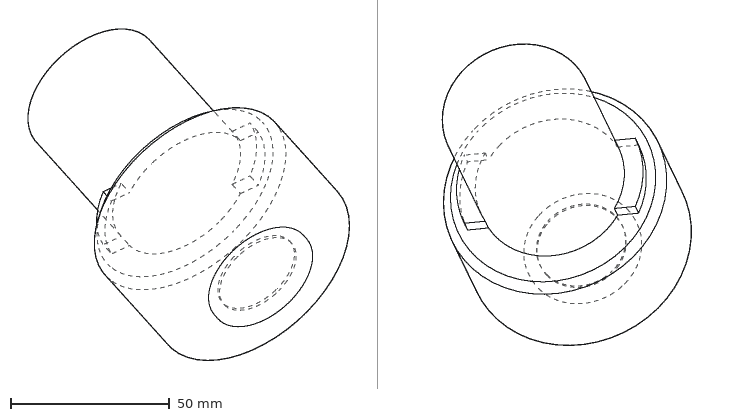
import cadquery as cq

total_length = 100.5
lug_start = 50.5
body_start = 55.3
body_end = 96.4
disc_start = 97.4

shaft_radius = 24.0
body_radius = 36.0
lug_outer_radius = 30.0
neck_radius = 14.4
disc_radius = 18.8

shaft_end_fillet = 2.1
body_front_chamfer = 2.9
body_rear_fillet = 2.0
disc_edge_fillet = 0.6
lug_width = 24.0


def cylinder(start, end, radius):
    """Solid cylinder on the X axis between two axial stations."""
    return cq.Workplane("YZ").workplane(offset=start).circle(radius).extrude(end - start)


def lug_pair():
    """Two opposite lugs with flat sides and rounded outer faces."""
    bar = (
        cq.Workplane("YZ")
        .workplane(offset=lug_start)
        .rect(2 * lug_outer_radius, lug_width)
        .extrude(body_start - lug_start)
    )
    return bar.intersect(cylinder(lug_start, body_start, lug_outer_radius))


shaft = cylinder(0, body_start, shaft_radius).faces("<X").edges().fillet(shaft_end_fillet)

body = cylinder(body_start, body_end, body_radius)
body = body.faces("<X").edges().chamfer(body_front_chamfer)
body = body.faces(">X").edges().fillet(body_rear_fillet)

neck = cylinder(body_end, disc_start, neck_radius)
disc = cylinder(disc_start, total_length, disc_radius).edges().fillet(disc_edge_fillet)

result = shaft.union(lug_pair()).union(body).union(neck).union(disc)